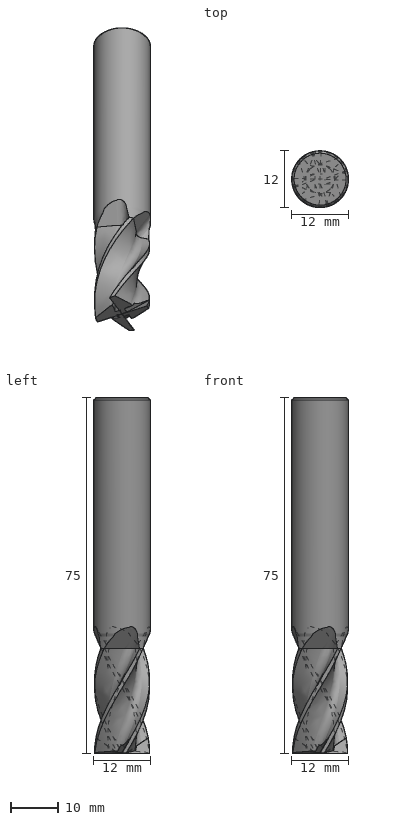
import cadquery as cq
import math

TOTAL_LENGTH = 75.0
SHANK_RADIUS = 6.0
SHANK_CHAMFER = 0.5
SHOULDER_Z = 25.3
NECK_TOP_Z = 24.6
CUTTER_LENGTH = 22.1

TOOTH_COUNT = 4
TOOTH_PITCH = 360.0 / TOOTH_COUNT
CUTTER_DIAMETER = 11.6
CUTTER_RADIUS = CUTTER_DIAMETER / 2
HELIX_LEAD = 60.75
TWIST = 360.0 * CUTTER_LENGTH / HELIX_LEAD
LAND_ANGLE = 10.0
BACK_END_RADIUS = 3.15
BACK_END_ANGLE = 58.0
GUTTER_RADIUS = 3.15
GUTTER_ANGLE = 79.0
RAKE_RADIUS = 4.2
RAKE_ANGLE = 90.0
FIRST_EDGE_ANGLE = -92.0

RUNOUT_OUT = 3.3
RUNOUT_SIDE = 1.65
RUNOUT_RISE = 5.7
CLEAR_RADIUS = 2 * SHANK_RADIUS

END_RELIEF_ANGLE = 12.0
GASH_START = 0.75
GASH_HEIGHT = 3.75
GASH_WIDTH = 1.2
GASH_LEAN = 2 * math.pi * CUTTER_RADIUS / HELIX_LEAD


def polar(radius, angle):
    """Point at the given radius and angle in degrees."""
    return (radius * math.cos(math.radians(angle)), radius * math.sin(math.radians(angle)))


def edge_angle(tooth):
    """Angle of a tooth's cutting edge at the lower end."""
    return FIRST_EDGE_ANGLE + tooth * TOOTH_PITCH


def fluted_profile():
    """Closed cross-section at the lower end: land, straight back and gutter of each tooth."""
    profile = cq.Workplane("XY").moveTo(*polar(CUTTER_RADIUS, edge_angle(0)))
    for tooth in range(TOOTH_COUNT):
        start = edge_angle(tooth)
        profile = profile.threePointArc(
            polar(CUTTER_RADIUS, start + LAND_ANGLE / 2), polar(CUTTER_RADIUS, start + LAND_ANGLE)
        )
        profile = profile.lineTo(*polar(BACK_END_RADIUS, start + BACK_END_ANGLE))
        profile = profile.threePointArc(
            polar(GUTTER_RADIUS, start + GUTTER_ANGLE), polar(RAKE_RADIUS, start + RAKE_ANGLE)
        )
        profile = profile.lineTo(*polar(CUTTER_RADIUS, start + TOOTH_PITCH))
    return profile.close()


def end_relief():
    """Wedge below one end tooth, rising behind a cutting edge that lies along +X."""
    rise = SHANK_RADIUS * math.tan(math.radians(END_RELIEF_ANGLE))
    return (
        cq.Workplane("YZ")
        .polyline([(0, 0), (SHANK_RADIUS, 0), (SHANK_RADIUS, rise)])
        .close()
        .extrude(SHANK_RADIUS)
    )


def end_gash():
    """Gash in front of a cutting edge along +X: leaning wall, floor rising outward."""
    lean = GASH_LEAN * GASH_HEIGHT
    leaning_slot = (
        cq.Workplane("YZ")
        .polyline([(-GASH_WIDTH, 0), (0, 0), (lean, GASH_HEIGHT), (lean - GASH_WIDTH, GASH_HEIGHT)])
        .close()
        .extrude(SHANK_RADIUS)
    )
    rising_floor = (
        cq.Workplane("XZ")
        .polyline([(GASH_START, 0), (SHANK_RADIUS, 0), (SHANK_RADIUS, GASH_HEIGHT)])
        .close()
        .extrude(SHANK_RADIUS, both=True)
    )
    return leaning_slot.intersect(rising_floor)


def make_cutter():
    """Fluted cutter with relieved and gashed end teeth."""
    cutter = fluted_profile().twistExtrude(CUTTER_LENGTH, TWIST)
    for tooth in range(TOOTH_COUNT):
        for tool in (end_relief(), end_gash()):
            cutter = cutter.cut(tool.rotate((0, 0, 0), (0, 0, 1), edge_angle(tooth)))
    return cutter


def flute_runout():
    """Flute void above the cutter, swept straight up and out of the shank.

    Oriented for a flute whose following cutting edge lies along +X.
    """
    own_edge = -TOOTH_PITCH
    void = (
        cq.Workplane("XY")
        .moveTo(*polar(CUTTER_RADIUS, own_edge + LAND_ANGLE))
        .lineTo(*polar(BACK_END_RADIUS, own_edge + BACK_END_ANGLE))
        .threePointArc(
            polar(GUTTER_RADIUS, own_edge + GUTTER_ANGLE), polar(RAKE_RADIUS, own_edge + RAKE_ANGLE)
        )
        .lineTo(CUTTER_RADIUS, 0)
        .lineTo(CLEAR_RADIUS, 0)
        .lineTo(*polar(CLEAR_RADIUS, own_edge / 2))
        .lineTo(*polar(CLEAR_RADIUS, own_edge + LAND_ANGLE))
        .close()
    )
    outward = polar(RUNOUT_OUT, own_edge / 2)
    sideways = polar(RUNOUT_SIDE, own_edge / 2 + 90)
    path = cq.Vector(outward[0] + sideways[0], outward[1] + sideways[1], RUNOUT_RISE)
    return cq.Workplane(cq.Solid.extrudeLinear(void.val(), [], path))


def make_shank():
    """Turned shank with neck and top chamfer, cut by the flute run-outs."""
    shank = (
        cq.Workplane("XZ")
        .polyline([
            (0, CUTTER_LENGTH),
            (CUTTER_RADIUS, CUTTER_LENGTH),
            (CUTTER_RADIUS, NECK_TOP_Z),
            (SHANK_RADIUS, SHOULDER_Z),
            (SHANK_RADIUS, TOTAL_LENGTH - SHANK_CHAMFER),
            (SHANK_RADIUS - SHANK_CHAMFER, TOTAL_LENGTH),
            (0, TOTAL_LENGTH),
        ])
        .close()
        .revolve(360, (0, 0), (0, 1))
    )
    runout = flute_runout().translate((0, 0, CUTTER_LENGTH))
    for tooth in range(TOOTH_COUNT):
        shank = shank.cut(runout.rotate((0, 0, 0), (0, 0, 1), edge_angle(tooth) + TWIST))
    return shank


cutter = make_cutter()
shank = make_shank()
result = cq.Compound.makeCompound([*cutter.solids().vals(), *shank.solids().vals()])